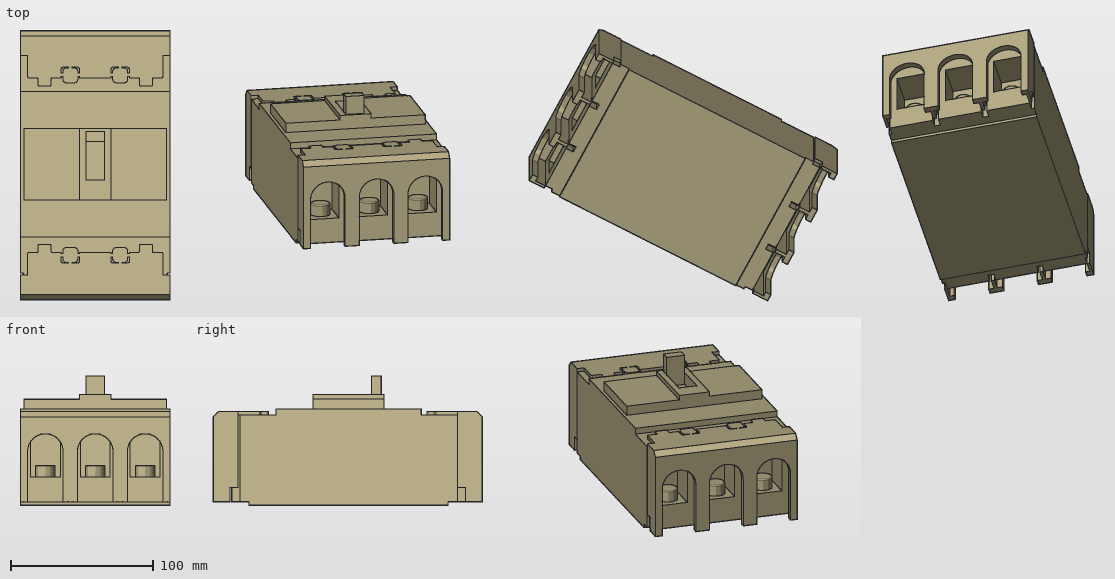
import cadquery as cq
overall_length = 189.0
body_width = 105.0
overall_height = 91.0
pole_count = 3
pole_pitch = body_width / pole_count
pole_xs = [(i - (pole_count - 1) / 2) * pole_pitch for i in range(pole_count)]
gap_xs = [(i - pole_count / 2) * pole_pitch for i in range(1, pole_count)]
end_signs = (-1, 1)

seat_z = 2.5
notch_top_z = 12.5
pocket_floor_z = 20.0
arch_crown_z = 50.3
shelf_z = 63.5
cover_top_z = 66.0
deck_z = 67.9
panel_z = 74.7
strip_z = 77.9
slot_floor_z = 69.0

housing_y = 0.5
base_length = 139.9
deck_length = 102.0
shoulder_length = 152.7
nose_length = 164.0
cover_wall = 1.9
nose_gap = 4.2
panel_width = 100.2
panel_length = 50.0
strip_width = 22.3

toggle_width = 13.2
toggle_thickness = 7.0
slot_length = 34.0
slot_back_y = 23.6

pocket_width = 21.0
screw_diameter = 13.6
screw_height = 8.1
screw_edge_round = 0.8
screw_inset = 24.5
screw_y = overall_length / 2 - screw_inset
pocket_inner_y = screw_y - pocket_width / 2

cover_end_y = overall_length / 2
cover_inner_y = 77.0
cover_chamfer = 3.8
end_wall = 4.2
arch_radius = 12.5
divider_thickness = 2.3
notch_length = 5.7
plate_width = 94.9
plate_inner_y = 61.2
corner_round = 1.0

tab_x = 35.5
tab_width = 9.0
tab_inner_y = 55.5

pad_width = 10.5
pad_inner_y = 57.8
pad_outer_y = 68.2
pad_round = 2.5
opening_width = 13.2
opening_outer_y = 68.8
opening_round = 1.9
bridge_width = 2.5
bridge_y = 63.3


def block(x_size, y_range, z_range, x=0.0):
    """Box centred on x, spanning the given Y and Z ranges."""
    y_low, y_high = sorted(y_range)
    z_low, z_high = z_range
    return (
        cq.Workplane("XY")
        .box(x_size, y_high - y_low, z_high - z_low, centered=(True, False, False))
        .translate((x, y_low, z_low))
    )


def centred_block(x_size, y_size, z_range):
    """Box centred on the housing."""
    return block(x_size, (housing_y - y_size / 2, housing_y + y_size / 2), z_range)


def make_housing():
    housing = centred_block(body_width, base_length, (0, shelf_z))
    housing = housing.union(centred_block(body_width, shoulder_length, (seat_z, shelf_z)))
    housing = housing.union(centred_block(body_width, deck_length, (seat_z, deck_z)))

    nose = centred_block(body_width - 2 * cover_wall, nose_length, (seat_z, shelf_z))
    for x in gap_xs:
        for sign in end_signs:
            y_range = (housing_y + sign * shoulder_length / 2, sign * cover_end_y)
            nose = nose.cut(block(nose_gap, y_range, (seat_z, shelf_z), x))
    housing = housing.union(nose)

    panel_front_y = housing_y - panel_length / 2
    panel_back_y = housing_y + panel_length / 2
    housing = housing.union(block(panel_width, (panel_front_y, panel_back_y), (deck_z, panel_z)))
    housing = housing.union(block(strip_width, (panel_front_y, panel_back_y), (deck_z, strip_z)))
    slot_range = (slot_back_y - slot_length, slot_back_y)
    housing = housing.cut(block(toggle_width, slot_range, (slot_floor_z, strip_z)))

    for x in pole_xs:
        for sign in end_signs:
            y_range = (sign * pocket_inner_y, sign * cover_end_y)
            housing = housing.cut(block(pocket_width, y_range, (pocket_floor_z, arch_crown_z), x))
    return housing


def make_toggle():
    y_range = (slot_back_y - toggle_thickness, slot_back_y)
    return block(toggle_width, y_range, (slot_floor_z, overall_height))


def make_screw(x, y):
    return (
        cq.Workplane("XY")
        .circle(screw_diameter / 2)
        .extrude(screw_height)
        .faces(">Z")
        .edges()
        .fillet(screw_edge_round)
        .translate((x, y, pocket_floor_z))
    )


def make_knockout(x):
    """Pad with its bridges, on the cover plate."""
    plate_range = (shelf_z, cover_top_z)
    pad = block(pad_width, (pad_inner_y, pad_outer_y), plate_range, x).edges("|Z").fillet(pad_round)
    side_range = (bridge_y - bridge_width / 2, bridge_y + bridge_width / 2)
    side_bridges = block(opening_width, side_range, plate_range, x)
    end_bridge = block(bridge_width, (bridge_y, opening_outer_y), plate_range, x)
    return pad.union(side_bridges).union(end_bridge)


def make_cover_plate():
    plate_range = (shelf_z, cover_top_z)
    plate = block(plate_width, (plate_inner_y, cover_end_y - cover_chamfer), plate_range)
    for x in (-tab_x, tab_x):
        plate = plate.union(block(tab_width, (tab_inner_y, cover_inner_y), plate_range, x))
    plate = plate.edges(cq.selectors.BoxSelector(
        (-body_width, 0, 0), (body_width, cover_inner_y, overall_height)
    )).edges("|Z").fillet(corner_round)

    for x in gap_xs:
        opening = block(opening_width, (tab_inner_y, opening_outer_y), plate_range, x)
        opening = opening.edges("|Z and >Y").fillet(opening_round)
        plate = plate.cut(opening).union(make_knockout(x))
    return plate


def make_back_cover():
    cover = block(body_width, (cover_inner_y, cover_end_y), (seat_z, cover_top_z))
    cover = cover.edges(">Y and >Z").chamfer(cover_chamfer)

    cavity_range = (cover_inner_y, cover_end_y - end_wall)
    cover = cover.cut(block(body_width - 2 * cover_wall, cavity_range, (seat_z, shelf_z)))
    for x in gap_xs:
        cover = cover.union(block(divider_thickness, cavity_range, (seat_z, cover_top_z), x))

    notch_range = (cover_inner_y, cover_inner_y + notch_length)
    cover = cover.cut(block(body_width, notch_range, (seat_z, notch_top_z)))

    arch_centre_z = arch_crown_z - arch_radius
    wall_range = (cover_end_y - end_wall, cover_end_y)
    for x in pole_xs:
        cover = cover.cut(block(2 * arch_radius, wall_range, (seat_z, arch_centre_z), x))
        arch = (
            cq.Workplane("XZ", origin=(x, cover_end_y, arch_centre_z))
            .circle(arch_radius)
            .extrude(end_wall)
        )
        cover = cover.cut(arch)
    return cover.union(make_cover_plate())


housing = make_housing()
toggle = make_toggle()
back_cover = make_back_cover()
front_cover = back_cover.rotate((0, 0, 0), (0, 0, 1), 180)
screws = [make_screw(x, sign * screw_y) for x in pole_xs for sign in end_signs]

result = cq.Compound.makeCompound(
    [
        housing.val(),
        toggle.val(),
        back_cover.val(),
        front_cover.val(),
        *[screw.val() for screw in screws],
    ]
)